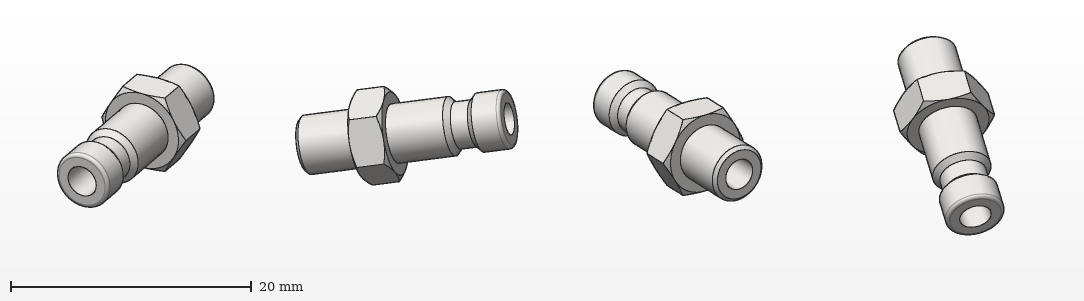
import cadquery as cq
import math

length = 18.0
body_radius = 2.5
neck_radius = 2.0
bore_diameter = 2.7
edge_size = 0.3

groove_start = 2.5
groove_end = 5.0
flank = body_radius - neck_radius

hex_flats = 7.0
hex_start = 10.0
hex_end = 13.0
hex_corners = hex_flats / math.cos(math.pi / 6)
corner_chamfer_angle = math.radians(30)


def make_body():
    """Turned body with rounded tip, locking groove and chamfered rear end."""
    arc_offset = edge_size * math.sqrt(0.5)
    arc_middle = (body_radius - edge_size + arc_offset, edge_size - arc_offset)
    return (
        cq.Workplane("XY")
        .moveTo(0, 0)
        .lineTo(body_radius - edge_size, 0)
        .threePointArc(arc_middle, (body_radius, edge_size))
        .lineTo(body_radius, groove_start)
        .lineTo(neck_radius, groove_start + flank)
        .lineTo(neck_radius, groove_end - flank)
        .lineTo(body_radius, groove_end)
        .lineTo(body_radius, length - edge_size)
        .lineTo(body_radius - edge_size, length)
        .lineTo(0, length)
        .close()
        .revolve(360, (0, 0), (0, 1))
    )


def make_hexagon():
    """Hexagon whose corners are cut by a cone at both ends."""
    face_radius = hex_flats / 2
    corner_radius = hex_corners / 2
    corner_depth = (corner_radius - face_radius) * math.tan(corner_chamfer_angle)
    prism = (
        cq.Workplane("XZ", origin=(0, hex_start, 0))
        .polygon(6, hex_corners)
        .extrude(hex_start - hex_end)
    )
    envelope = (
        cq.Workplane("XY")
        .moveTo(0, hex_start)
        .lineTo(face_radius, hex_start)
        .lineTo(corner_radius, hex_start + corner_depth)
        .lineTo(corner_radius, hex_end - corner_depth)
        .lineTo(face_radius, hex_end)
        .lineTo(0, hex_end)
        .close()
        .revolve(360, (0, 0), (0, 1))
    )
    return prism.intersect(envelope)


bore = cq.Workplane("XZ").circle(bore_diameter / 2).extrude(-length)

result = make_body().union(make_hexagon()).cut(bore)